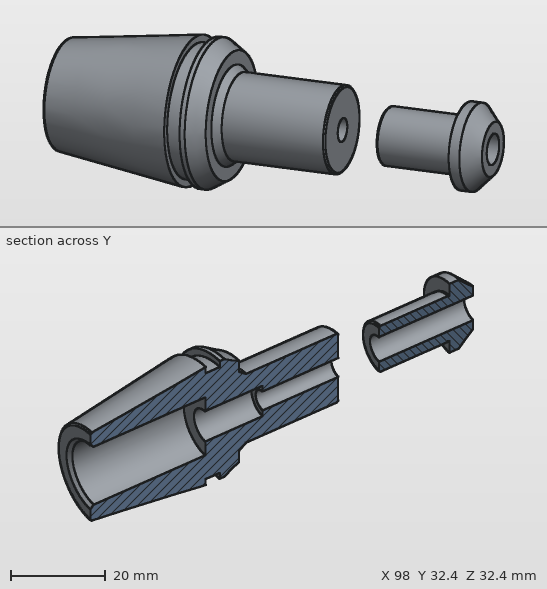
import cadquery as cq
import math

overall_length = 98.0
edge_chamfer = 0.4
shank_diameter = 19.0

max_diameter = 32.4
taper_half_angle = 8.0
taper_end_x = 29.6
taper_land = 0.3
groove_diameter = 29.2
groove_width = 3.5
flange_land = 1.2
flange_bevel_length = 3.8
flange_bevel_end_diameter = 27.8
flare_length = 1.8
flare_diameter = 21.8
collet_length = 63.5

main_bore_diameter = 15.8
main_bore_depth = 29.4
bore_chamfer = 0.9
middle_bore_diameter = 8.2
middle_bore_end_x = 44.1
through_hole_diameter = 5.1

plug_start_x = 73.9
plug_stem_diameter = 12.7
plug_hole_diameter = 6.7
neck_diameter = 12.4
neck_width = 0.3
head_start_x = 91.9
head_rim_width = 2.45
head_face_diameter = 11.8
head_diameter = shank_diameter


def revolve_about_x(profile):
    """Revolve a closed (x, radius) profile one full turn about the X axis."""
    return profile.close().revolve(360, (0, 0, 0), (1, 0, 0))


def make_collet():
    max_radius = max_diameter / 2
    groove_radius = groove_diameter / 2
    shank_radius = shank_diameter / 2
    main_radius = main_bore_diameter / 2
    middle_radius = middle_bore_diameter / 2
    hole_radius = through_hole_diameter / 2

    taper_length = taper_end_x - taper_land - edge_chamfer
    nose_radius = max_radius - taper_length * math.tan(math.radians(taper_half_angle))
    groove_end_x = taper_end_x + groove_width
    bevel_start_x = groove_end_x + flange_land
    flange_end_x = bevel_start_x + flange_bevel_length
    flare_end_x = flange_end_x + flare_length

    profile = (
        cq.Workplane("XY")
        .moveTo(0, main_radius + bore_chamfer)
        .lineTo(0, nose_radius - edge_chamfer)
        .lineTo(edge_chamfer, nose_radius)
        .lineTo(taper_end_x - taper_land, max_radius)
        .lineTo(taper_end_x, max_radius)
        .lineTo(taper_end_x, groove_radius)
        .lineTo(groove_end_x, groove_radius)
        .lineTo(groove_end_x, max_radius)
        .lineTo(bevel_start_x, max_radius)
        .lineTo(flange_end_x, flange_bevel_end_diameter / 2)
        .lineTo(flange_end_x, flare_diameter / 2)
        .lineTo(flare_end_x, shank_radius)
        .lineTo(collet_length - edge_chamfer, shank_radius)
        .lineTo(collet_length, shank_radius - edge_chamfer)
        .lineTo(collet_length, hole_radius)
        .lineTo(middle_bore_end_x, hole_radius)
        .lineTo(middle_bore_end_x, middle_radius)
        .lineTo(main_bore_depth, middle_radius)
        .lineTo(main_bore_depth, main_radius)
        .lineTo(bore_chamfer, main_radius)
    )
    return revolve_about_x(profile)


def make_plug():
    neck_radius = neck_diameter / 2
    stem_radius = plug_stem_diameter / 2
    hole_radius = plug_hole_diameter / 2
    head_radius = head_diameter / 2
    face_radius = head_face_diameter / 2

    profile = (
        cq.Workplane("XY")
        .moveTo(plug_start_x, hole_radius)
        .lineTo(plug_start_x, stem_radius - edge_chamfer)
        .lineTo(plug_start_x + edge_chamfer, stem_radius)
        .lineTo(head_start_x - neck_width, stem_radius)
        .lineTo(head_start_x - neck_width, neck_radius)
        .lineTo(head_start_x, neck_radius)
        .lineTo(head_start_x, head_radius)
        .lineTo(head_start_x + head_rim_width, head_radius)
        .lineTo(overall_length, face_radius)
        .lineTo(overall_length, hole_radius)
    )
    return revolve_about_x(profile)


collet = make_collet()
plug = make_plug()

result = cq.Compound.makeCompound([collet.val(), plug.val()])